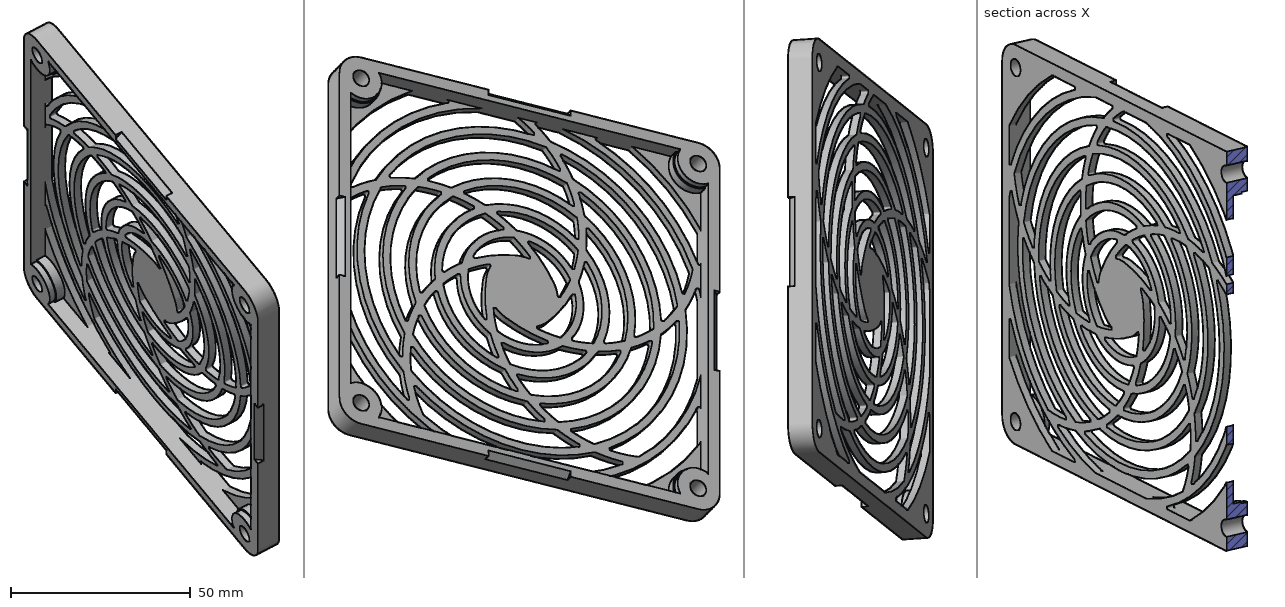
import cadquery as cq
import math

SIDE = 118.3
DEPTH = 7.1
WALL = 3.5
GRILLE_THICKNESS = 2.4
HALF = SIDE / 2
OPENING = SIDE - 2 * WALL
FRONT = -DEPTH / 2
BACK = DEPTH / 2

HOLE_SPACING = 104.8
HOLE_DIAMETER = 5.0
CORNER_RADIUS = HALF - HOLE_SPACING / 2
BOSS_TIP_RADIUS = 6.4
BOSS_BASE_RADIUS = 6.9
BOSS_TIP_LENGTH = 1.9

FIRST_RING_RADIUS = 18.0
RING_PITCH = 8.0
RING_COUNT = 6
RING_WIDTH = 2.4
SLOT_CORNER_RADIUS = 0.5
OUTER_RING_EDGE = FIRST_RING_RADIUS + (RING_COUNT - 1) * RING_PITCH + RING_WIDTH / 2
GUSSET_RADIUS = 65.3

ARM_COUNT = 5
ARM_RADIUS = 41.0
ARM_WIDTH = 2.5
ARM_CENTER_DISTANCE = 31.1
ARM_CENTER_ANGLE = 135.5
HUB_RADIUS = ARM_RADIUS + ARM_WIDTH / 2 - ARM_CENTER_DISTANCE

NOTCH_LENGTH = 25.5
NOTCH_INSET = 1.8
NOTCH_DEPTH = 2.0


def disc(radius, start_y, end_y, x=0.0, z=0.0):
    return cq.Workplane("XZ", origin=(x, start_y, z)).circle(radius).extrude(start_y - end_y)


def block(side, start_y, end_y):
    return cq.Workplane("XZ", origin=(0, start_y, 0)).rect(side, side).extrude(start_y - end_y)


def band(radius, width, start_y, end_y, x=0.0, z=0.0):
    center = cq.Workplane("XZ", origin=(x, start_y, z))
    return center.circle(radius + width / 2).circle(radius - width / 2).extrude(start_y - end_y)


def make_envelope():
    return block(SIDE, FRONT, BACK).edges("|Y").fillet(CORNER_RADIUS)


def make_arm(index, start_y):
    """Half of an offset band, running from the hub out past the outermost ring."""
    angle = math.radians(ARM_CENTER_ANGLE + index * 360 / ARM_COUNT)
    x = ARM_CENTER_DISTANCE * math.cos(angle)
    z = ARM_CENTER_DISTANCE * math.sin(angle)
    arm = band(ARM_RADIUS, ARM_WIDTH, start_y, BACK, x, z)
    keep = (
        cq.Workplane("XZ", origin=(0, start_y, 0))
        .center(0, -SIDE / 2)
        .rect(2 * SIDE, SIDE)
        .extrude(start_y - BACK)
        .rotate((0, 0, 0), (0, 1, 0), -math.degrees(angle))
    )
    return arm.intersect(keep)


def make_grille():
    """Plate filling the frame opening, pierced by slots with rounded corners."""
    start_y = BACK - GRILLE_THICKNESS
    grille = disc(HUB_RADIUS, start_y, BACK)
    for index in range(RING_COUNT):
        grille = grille.union(band(FIRST_RING_RADIUS + index * RING_PITCH, RING_WIDTH, start_y, BACK))
    limit = disc(OUTER_RING_EDGE, start_y, BACK)
    for index in range(ARM_COUNT):
        grille = grille.union(make_arm(index, start_y).intersect(limit))
    plate = block(OPENING, start_y, BACK)
    gussets = plate.cut(disc(GUSSET_RADIUS, start_y, BACK))
    slots = plate.cut(grille.union(gussets))
    for slot in slots.solids().vals():
        plate = plate.cut(cq.Workplane(slot).edges("|Y").fillet(SLOT_CORNER_RADIUS))
    return plate


def make_boss(x, z):
    """Stepped round boss, narrower at the front."""
    step_y = FRONT + BOSS_TIP_LENGTH
    tip = disc(BOSS_TIP_RADIUS, FRONT, step_y, x, z)
    return tip.union(disc(BOSS_BASE_RADIUS, step_y, BACK, x, z))


def make_notch():
    """Triangular wedge removed from the front edge of the top side."""
    return (
        cq.Workplane("YZ", origin=(-NOTCH_LENGTH / 2, 0, 0))
        .moveTo(FRONT, HALF)
        .lineTo(FRONT + NOTCH_DEPTH, HALF)
        .lineTo(FRONT, HALF - NOTCH_INSET)
        .close()
        .extrude(NOTCH_LENGTH)
    )


envelope = make_envelope()
result = envelope.cut(block(OPENING, FRONT, BACK)).union(make_grille())

for side_x in (-1, 1):
    for side_z in (-1, 1):
        hole_x = side_x * HOLE_SPACING / 2
        hole_z = side_z * HOLE_SPACING / 2
        result = result.union(make_boss(hole_x, hole_z).intersect(envelope))
        result = result.cut(disc(HOLE_DIAMETER / 2, FRONT, BACK, hole_x, hole_z))

for quarter in range(4):
    result = result.cut(make_notch().rotate((0, 0, 0), (0, 1, 0), 90 * quarter))